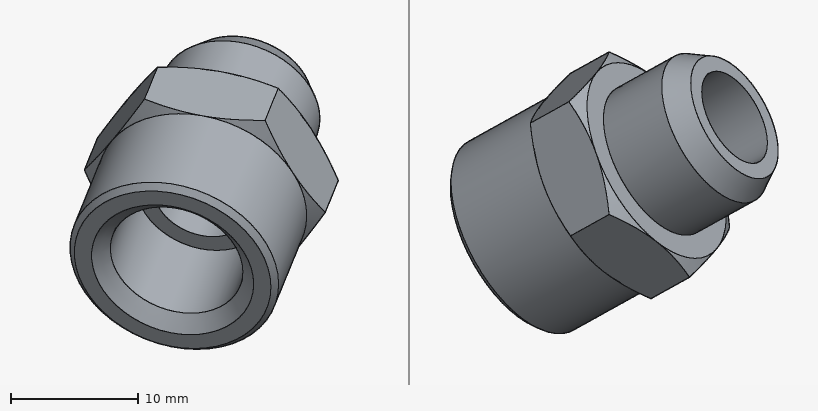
import cadquery as cq
import math

total_length = 22.5
hex_across_flats = 17.0
large_length = 9.0
large_chamfer = 0.5
hex_width = 5.5
hex_chamfer_angle = 30.0
small_diameter = 13.0
small_taper_length = 2.0
small_taper_angle = 30.0

bore_diameter = 8.0
seat_mouth_diameter = 13.2
socket_diameter = 10.8
seat_half_angle = 45.0
socket_depth = 9.0

large_radius = hex_across_flats / 2
small_radius = small_diameter / 2
hex_across_corners = hex_across_flats / math.cos(math.radians(30))
hex_corner_radius = hex_across_corners / 2
hex_end = large_length + hex_width
hex_corner_setback = (hex_corner_radius - large_radius) * math.tan(math.radians(hex_chamfer_angle))
tip_radius = small_radius - small_taper_length * math.tan(math.radians(small_taper_angle))
seat_depth = (seat_mouth_diameter - socket_diameter) / 2 / math.tan(math.radians(seat_half_angle))


def revolve_about_y(points):
    """Turn a closed (radius, Y) outline around the Y axis."""
    return cq.Workplane("XY").polyline(points).close().revolve(360, (0, 0, 0), (0, 1, 0))


def make_hex():
    """Hexagon with corners on X and conical chamfers on both faces."""
    prism = (
        cq.Workplane("XZ", origin=(0, large_length, 0))
        .polygon(6, hex_across_corners)
        .extrude(-hex_width)
    )
    chamfer_envelope = revolve_about_y([
        (0, large_length),
        (large_radius, large_length),
        (hex_corner_radius, large_length + hex_corner_setback),
        (hex_corner_radius, hex_end - hex_corner_setback),
        (large_radius, hex_end),
        (0, hex_end),
    ])
    return prism.intersect(chamfer_envelope)


def make_stepped_body():
    """Large chamfered end and small tapered end on one axis."""
    return revolve_about_y([
        (0, 0),
        (large_radius - large_chamfer, 0),
        (large_radius, large_chamfer),
        (large_radius, large_length),
        (small_radius, large_length),
        (small_radius, total_length - small_taper_length),
        (tip_radius, total_length),
        (0, total_length),
    ])


def make_passage():
    """Conical seat, flat-bottomed socket and through bore."""
    return revolve_about_y([
        (0, 0),
        (seat_mouth_diameter / 2, 0),
        (socket_diameter / 2, seat_depth),
        (socket_diameter / 2, socket_depth),
        (bore_diameter / 2, socket_depth),
        (bore_diameter / 2, total_length),
        (0, total_length),
    ])


result = make_stepped_body().union(make_hex()).cut(make_passage())